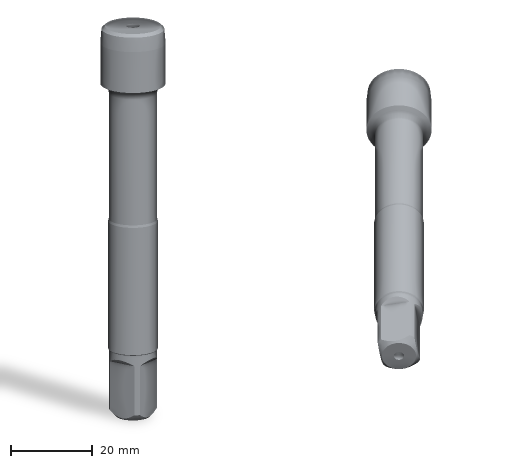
import cadquery as cq
import math

total_length = 100.0
head_bottom = 85.2
shank_top = 50.6
shank_bottom = 17.1
square_length = 14.4

head_dia = 16.0
neck_dia = 11.9
shank_dia = 12.2
drive_dia = 11.7
bore_dia = 2.5
bore_mouth_dia = 3.4
bore_mouth_angle = 60
end_face_dia = 8.4

across_flats = 9.2
top_face_radius = 6.9
crown_edge_radius = 7.7
crown_edge_height = 0.7
crown_height = 4.3
shank_taper_length = 0.6
throat_radius = 1.8
throat_angle = 30
end_chamfer_height = 1.8

head_radius = head_dia / 2
neck_radius = neck_dia / 2
shank_radius = shank_dia / 2
drive_radius = drive_dia / 2
shank_chamfer = shank_radius - drive_radius
crown_mid_radius = (crown_edge_radius + 2 * head_radius) / 3
crown_base = total_length - crown_height
crown_edge = total_length - crown_edge_height
crown_mid = (crown_base + crown_edge) / 2

throat_slope = math.radians(throat_angle)
throat_start_radius = neck_radius + throat_radius * (1 - math.sin(throat_slope))
throat_start = head_bottom - (head_radius - throat_start_radius) * math.tan(throat_slope)
neck_top = throat_start - throat_radius * math.cos(throat_slope)


def make_body():
    """Turned body with a curved crown and a hollow throat under the head."""
    profile = (
        cq.Workplane("XZ")
        .lineTo(end_face_dia / 2, 0)
        .lineTo(drive_radius, end_chamfer_height)
        .lineTo(drive_radius, shank_bottom)
        .lineTo(shank_radius, shank_bottom + shank_chamfer)
        .lineTo(shank_radius, shank_top - shank_taper_length)
        .lineTo(neck_radius, shank_top)
        .lineTo(neck_radius, neck_top)
        .tangentArcPoint((throat_start_radius, throat_start), relative=False)
        .lineTo(head_radius, head_bottom)
        .lineTo(head_radius, crown_base)
        .threePointArc((crown_mid_radius, crown_mid), (crown_edge_radius, crown_edge))
        .lineTo(top_face_radius, total_length)
        .lineTo(0, total_length)
        .close()
    )
    return profile.revolve(360, (0, 0, 0), (0, 1, 0))


def make_flat_cutter():
    """Material removed beside one flat, with a 45 degree run-out at its upper end."""
    flat = across_flats / 2
    outer = head_radius
    return (
        cq.Workplane("XZ")
        .moveTo(flat, 0)
        .lineTo(outer, 0)
        .lineTo(outer, square_length + outer - flat)
        .lineTo(flat, square_length)
        .close()
        .extrude(head_radius, both=True)
    )


def make_bore():
    """Bore through the full length with a conical centre mouth in the head."""
    bore_radius = bore_dia / 2
    mouth_radius = bore_mouth_dia / 2
    mouth_depth = (mouth_radius - bore_radius) / math.tan(math.radians(bore_mouth_angle / 2))
    return (
        cq.Workplane("XZ")
        .lineTo(bore_radius, 0)
        .lineTo(bore_radius, total_length - mouth_depth)
        .lineTo(mouth_radius, total_length)
        .lineTo(0, total_length)
        .close()
        .revolve(360, (0, 0, 0), (0, 1, 0))
    )


result = make_body()
for angle in (0, 90, 180, 270):
    result = result.cut(make_flat_cutter().rotate((0, 0, 0), (0, 0, 1), angle))
result = result.cut(make_bore())